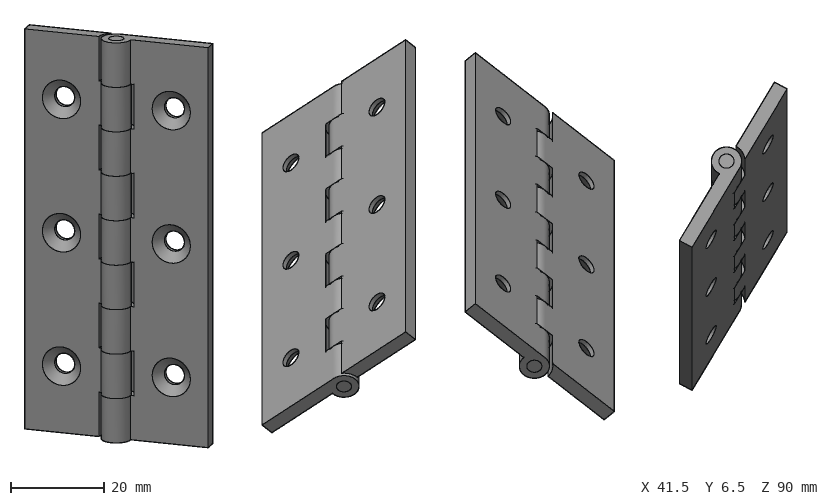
import cadquery as cq

length = 90.0
open_width = 41.5
barrel_diameter = 6.5
pin_diameter = 3.2
leaf_thickness = 3.15
clearance_radius = 4.0
knuckle_count = 9

hole_diameter = 4.5
countersink_diameter = 8.6
countersink_angle = 90.0
hole_offset = 12.4
hole_pitch = length / 3
hole_rows = (-1, 0, 1)

barrel_radius = barrel_diameter / 2
leaf_width = open_width / 2
knuckle_length = length / knuckle_count
leaf_back = barrel_radius
leaf_front = leaf_back - leaf_thickness


def z_cylinder(radius, bottom, height):
    """Cylinder on the pin axis."""
    return cq.Workplane("XY").workplane(offset=bottom).circle(radius).extrude(height)


def knuckle_bottom(index):
    return -length / 2 + index * knuckle_length


def make_plate(side):
    """Flat plate reaching from the pin axis to the outer edge on one side."""
    return cq.Workplane("XY").box(leaf_width, leaf_thickness, length).translate(
        (side * leaf_width / 2, leaf_front + leaf_thickness / 2, 0)
    )


def drill_screw_holes(leaf, side):
    """Row of through holes countersunk from the front face."""
    centers = [(side * hole_offset, row * hole_pitch) for row in hole_rows]
    return (
        cq.Workplane("XZ", origin=(0, leaf_front, 0))
        .add(leaf)
        .pushPoints(centers)
        .cskHole(hole_diameter, countersink_diameter, countersink_angle)
    )


def make_leaf(side, first_knuckle):
    """Leaf on one side (-1 or +1) owning every second knuckle."""
    leaf = make_plate(side)
    for index in range(knuckle_count):
        bottom = knuckle_bottom(index)
        if index % 2 == first_knuckle:
            leaf = leaf.union(z_cylinder(barrel_radius, bottom, knuckle_length))
        else:
            leaf = leaf.cut(z_cylinder(clearance_radius, bottom, knuckle_length))
    leaf = leaf.cut(z_cylinder(pin_diameter / 2, -length / 2, length))
    return drill_screw_holes(leaf, side)


right_leaf = make_leaf(side=1, first_knuckle=0)
left_leaf = make_leaf(side=-1, first_knuckle=1)
pin = z_cylinder(pin_diameter / 2, -length / 2, length)

result = cq.Compound.makeCompound([right_leaf.val(), left_leaf.val(), pin.val()])